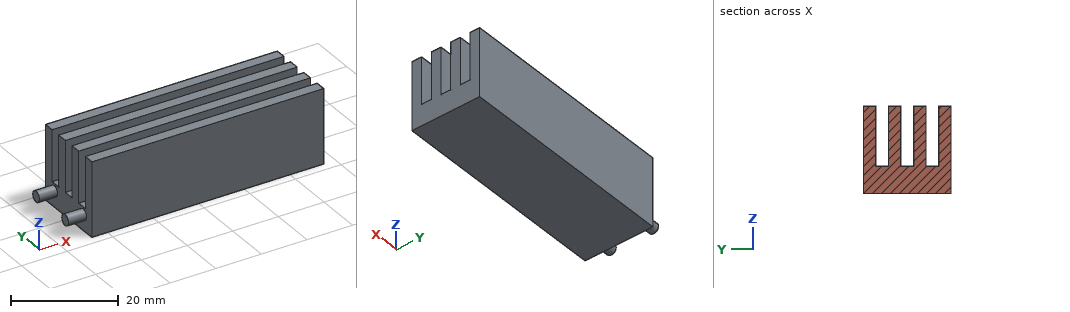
import cadquery as cq

body_length = 50.8
body_width = 16.26
body_height = 16.26
base_height = 5.08
fin_count = 4

pin_diameter = 2.36
pin_length = 3.96
pin_spacing = 10.16
pin_height = 3.45

fin_width = body_width / (2 * fin_count - 1)
fin_pitch = 2 * fin_width
fin_height = body_height - base_height


def make_base():
    """Solid slab that carries the fins, with one end at X = 0."""
    return cq.Workplane("XY").box(body_length, body_width, base_height, centered=(False, True, False))


def make_fin(index):
    """One full-length fin standing on the base, counted from the -Y side."""
    fin_start = -body_width / 2 + index * fin_pitch
    return (
        cq.Workplane("XY")
        .box(body_length, fin_width, fin_height, centered=False)
        .translate((0, fin_start, base_height))
    )


def make_pins():
    """Two round pins standing out of the -X end of the base."""
    pin_centres = [(-pin_spacing / 2, pin_height), (pin_spacing / 2, pin_height)]
    return (
        cq.Workplane("YZ")
        .pushPoints(pin_centres)
        .circle(pin_diameter / 2)
        .extrude(-pin_length)
    )


heat_sink = make_base()
for fin_index in range(fin_count):
    heat_sink = heat_sink.union(make_fin(fin_index))

result = heat_sink.union(make_pins())